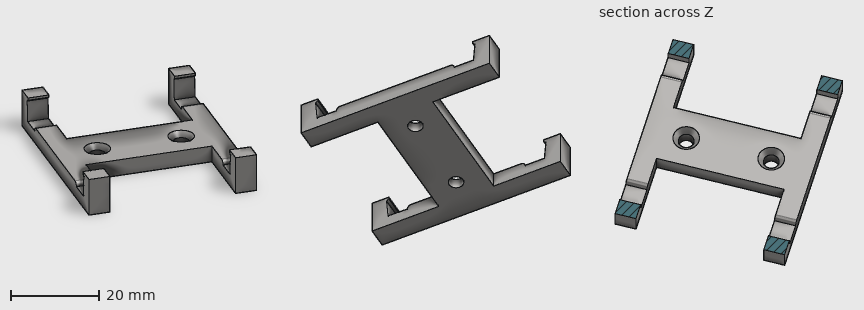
import cadquery as cq

length = 48.0
width = 40.0
height = 9.0

bar_width = 5.0
seat_height = 3.0
arm_root = 4.1
arm_neck = 3.7
hook_reach = 4.25
hook_face = 0.6
hook_depth = 1.05

pad_length = 30.0
pad_height = 4.0
pad_radius = pad_height - seat_height

web_width = 14.0
hole_spacing = 20.0
hole_diameter = 3.5
sink_diameter = 6.0
sink_angle = 90

half_length = length / 2
half_pad = pad_length / 2


def clip_bar(center_y):
    """Bar with a hooked arm at each end, extruded along Y."""
    half_profile = (
        cq.Workplane("XZ", origin=(0, center_y, 0))
        .moveTo(0, 0)
        .lineTo(half_length, 0)
        .lineTo(half_length, height)
        .lineTo(half_length - hook_reach, height)
        .lineTo(half_length - hook_reach, height - hook_face)
        .lineTo(half_length - arm_neck, height - hook_depth)
        .lineTo(half_length - arm_root, seat_height)
        .lineTo(half_pad, seat_height)
        .radiusArc((half_pad - pad_radius, pad_height), -pad_radius)
        .lineTo(0, pad_height)
        .close()
        .extrude(bar_width / 2, both=True)
    )
    return half_profile.union(half_profile.mirror("YZ"))


bar_offset = (width - bar_width) / 2
result = cq.Workplane("XY").box(web_width, 2 * bar_offset, pad_height, centered=(True, True, False))
for side in (-1, 1):
    result = result.union(clip_bar(side * bar_offset))
result = result.clean()

result = (
    result.copyWorkplane(cq.Workplane("XY", origin=(0, 0, pad_height)))
    .pushPoints([(0, -hole_spacing / 2), (0, hole_spacing / 2)])
    .cskHole(hole_diameter, sink_diameter, sink_angle)
)